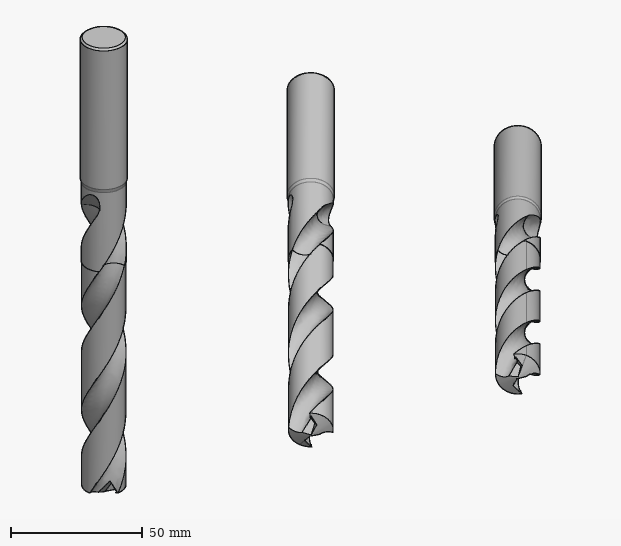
import cadquery as cq

total_length = 201.0
cutting_length = 102.1
shank_start = 138.9
shank_cone_height = 1.6

shank_diameter = 18.0
neck_diameter = 17.3
cutting_diameter = 17.0
shank_radius = shank_diameter / 2
neck_radius = neck_diameter / 2
cutting_radius = cutting_diameter / 2
top_chamfer = 0.8

point_height = 3.2

flute_count = 2
flute_pitch = 92.0
flute_section_radius = 5.6
core_radius = 2.6
flute_center = core_radius + flute_section_radius
flute_bottom = -4.0
flute_top = 126.2
flute_top_angle = 229.0

runout_rise = 12.0
runout_outward = 5.6
runout_sideways = 8.6

gash_x = 3.0
gash_y = -2.0
gash_peak = 6.6
gash_half_width = 4.8
gash_slope = 1.2
gash_side_slope = 1.6
gash_inward = 2.0
gash_outward = 1.6


def make_flute(index):
    """Cutter for one flute: a helical sweep and a straight run-out at its top."""
    height = flute_top - flute_bottom
    twist = 360.0 * height / flute_pitch
    helix = (
        cq.Workplane("XY")
        .pushPoints([(flute_center, 0)])
        .circle(flute_section_radius)
        .twistExtrude(height, twist)
        .rotate((0, 0, 0), (0, 0, 1), -twist)
        .translate((0, 0, flute_bottom))
    )
    section = cq.Wire.makeCircle(
        flute_section_radius, cq.Vector(flute_center, 0, flute_top), cq.Vector(0, 0, 1)
    )
    travel = cq.Vector(runout_outward, runout_sideways, runout_rise)
    runout = cq.Workplane(cq.Solid.extrudeLinear(section, [], travel))
    angle = flute_top_angle + index * 360.0 / flute_count
    return [cutter.rotate((0, 0, 0), (0, 0, 1), angle) for cutter in (helix, runout)]


def cut_flutes(body):
    """Cut every flute, with its run-out, from one body."""
    for index in range(flute_count):
        for cutter in make_flute(index):
            body = body.cut(cutter)
    return body


def cut_gashes(body):
    """Cut one sloping V notch beside the point for each flute."""
    outer_y = gash_y - gash_outward
    outer_peak = gash_peak + gash_outward * gash_slope
    depth = gash_half_width * gash_side_slope
    corners = [
        cq.Vector(gash_x, outer_y, outer_peak),
        cq.Vector(gash_x + gash_half_width, outer_y, outer_peak - depth),
        cq.Vector(gash_x - gash_half_width, outer_y, outer_peak - depth),
    ]
    run = gash_outward + gash_inward
    travel = cq.Vector(0, run, -run * gash_slope)
    notch = cq.Workplane(cq.Solid.extrudeLinear(cq.Wire.makePolygon(corners, close=True), [], travel))
    for index in range(flute_count):
        body = body.cut(notch.rotate((0, 0, 0), (0, 0, 1), index * 360.0 / flute_count))
    return body


def make_cutting_part():
    """Conical-pointed, fluted front part."""
    blank = (
        cq.Workplane("XZ")
        .moveTo(0, 0)
        .lineTo(cutting_radius, point_height)
        .lineTo(cutting_radius, cutting_length)
        .lineTo(0, cutting_length)
        .close()
        .revolve(360, (0, 0), (0, 1))
    )
    return cut_gashes(cut_flutes(blank))


def make_shank():
    """Plain shank with a slightly thinner neck, into which the flutes run out."""
    blank = (
        cq.Workplane("XZ")
        .moveTo(0, cutting_length)
        .lineTo(neck_radius, cutting_length)
        .lineTo(neck_radius, shank_start - shank_cone_height)
        .lineTo(shank_radius, shank_start)
        .lineTo(shank_radius, total_length - top_chamfer)
        .lineTo(shank_radius - top_chamfer, total_length)
        .lineTo(0, total_length)
        .close()
        .revolve(360, (0, 0), (0, 1))
    )
    return cut_flutes(blank)


cutting_part = make_cutting_part()
shank = make_shank()
result = cq.Compound.makeCompound([cutting_part.val(), shank.val()])